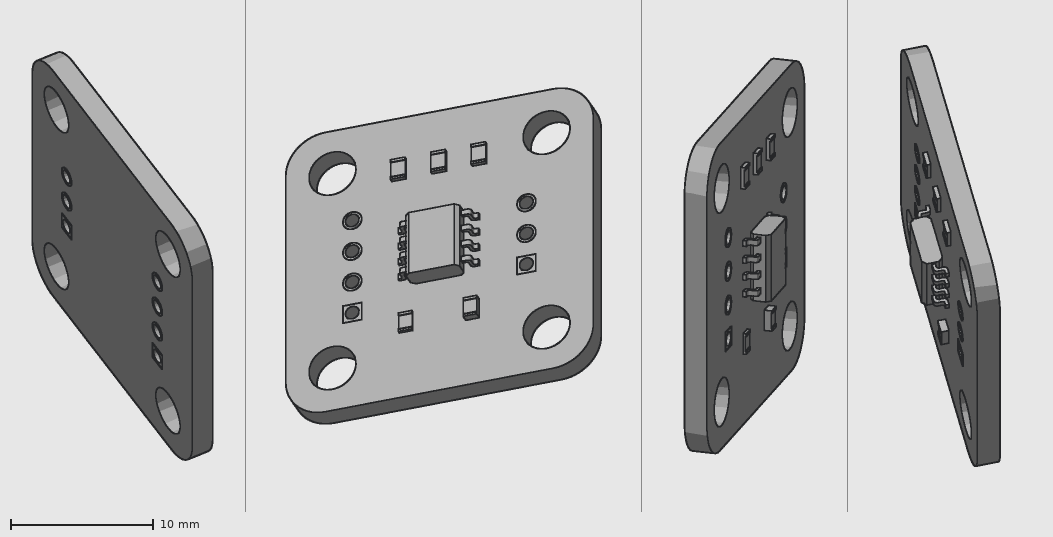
import cadquery as cq


board_side = 23.0
board_thickness = 1.65
board_corner_radius = 3.0
mount_hole_diameter = 3.5
mount_hole_offset = 8.0

header_pitch = 2.53
header_x = 6.5
left_pin_count = 3
right_pin_count = 4
pin_hole_diameter = 1.01
pad_size = 1.4
pad_thickness = 0.035

body_width = 4.0
body_length = 5.0
body_gap = 0.15
overall_depth = 3.35
package_height = overall_depth - board_thickness - pad_thickness
body_chamfer = 0.3

lead_count = 4
lead_pitch = 1.26
lead_row_z = 0.2
lead_width = 0.41
lead_thickness = 0.25
lead_top = 1.0
lead_span = 5.34
foot_span = 6.0
lead_outer_radius = 0.25
lead_inner_radius = 0.14
lead_embed = 0.23

terminal_length = 0.2
terminal_step = 0.07
resistor_length = 1.6
resistor_width = 1.08
resistor_height = 0.32
resistor_pitch = 3.01
resistor_z = 7.2
small_chip_length = 1.52
small_chip_width = 1.01
small_chip_x = 2.48
small_chip_z = -5.43
tall_chip_height = 0.58
flat_chip_height = 0.23


def box_on(y_start, x, z, width, height, length):
    """Box resting on the plane Y = y_start, centred on (x, z), rising toward +Y."""
    return cq.Workplane("XY").box(width, height, length).translate((x, y_start + height / 2, z))


def cylinder_on(y_start, x, z, diameter, height):
    """Cylinder along Y that starts on the plane Y = y_start."""
    axis_start = cq.Vector(x, y_start, z)
    return cq.Workplane(cq.Solid.makeCylinder(diameter / 2, height, axis_start, cq.Vector(0, 1, 0)))


def make_board():
    board = box_on(0, 0, 0, board_side, board_thickness, board_side)
    board = board.edges("|Y").fillet(board_corner_radius)
    for x in (-mount_hole_offset, mount_hole_offset):
        for z in (-mount_hole_offset, mount_hole_offset):
            board = board.cut(cylinder_on(0, x, z, mount_hole_diameter, board_thickness))
    return board


def add_header(board, x, pin_count):
    """Vertical row of plated holes; the lowest pad is square and the others are round."""
    plated_thickness = board_thickness + 2 * pad_thickness
    lowest_z = -header_pitch * (pin_count - 1) / 2
    for index in range(pin_count):
        z = lowest_z + index * header_pitch
        if index == 0:
            pad = box_on(-pad_thickness, x, z, pad_size, plated_thickness, pad_size)
        else:
            pad = cylinder_on(-pad_thickness, x, z, pad_size, plated_thickness)
        board = board.union(pad)
        board = board.cut(cylinder_on(-pad_thickness, x, z, pin_hole_diameter, plated_thickness))
    return board


def make_lead(side, z):
    """Gull-wing lead on the +X (side = 1) or -X (side = -1) flank of the package."""
    root_x = body_width / 2 - lead_embed
    outer_x = lead_span / 2
    inner_x = outer_x - lead_thickness
    foot_x = foot_span / 2
    shoulder_y = lead_top - lead_thickness
    profile = [
        (root_x, lead_top),
        (outer_x, lead_top),
        (outer_x, lead_thickness),
        (foot_x, lead_thickness),
        (foot_x, 0),
        (inner_x, 0),
        (inner_x, shoulder_y),
        (root_x, shoulder_y),
    ]
    lead = cq.Workplane("XY").polyline(profile).close().extrude(lead_width / 2, both=True)

    def bend(x, y):
        reach = lead_inner_radius / 2
        return cq.selectors.BoxSelector((x - reach, y - reach, -lead_width), (x + reach, y + reach, lead_width))

    lead = lead.edges(bend(outer_x, lead_top)).fillet(lead_outer_radius)
    lead = lead.edges(bend(inner_x, 0)).fillet(lead_outer_radius)
    lead = lead.edges(bend(outer_x, lead_thickness)).fillet(lead_inner_radius)
    lead = lead.edges(bend(inner_x, shoulder_y)).fillet(lead_inner_radius)
    if side < 0:
        lead = lead.mirror("YZ")
    return lead.translate((0, board_thickness, z))


def make_package():
    """Package body carried above the board by a row of leads on each flank."""
    body = box_on(board_thickness + body_gap, 0, 0, body_width, package_height - body_gap, body_length)
    body = body.edges("|Z").chamfer(body_chamfer)
    for index in range(lead_count):
        z = lead_row_z + (index - (lead_count - 1) / 2) * lead_pitch
        for side in (-1, 1):
            body = body.union(make_lead(side, z))
    return body


def make_chip(x, z, width, height, length):
    """Two-terminal chip lying along Z."""
    chip = box_on(board_thickness, x, z, width, height, length)
    recess_length = length - 2 * terminal_length
    recess_floor = board_thickness + height - terminal_step
    return chip.cut(box_on(recess_floor, x, z, width, terminal_step, recess_length))


result = make_board()
result = add_header(result, -header_x, left_pin_count)
result = add_header(result, header_x, right_pin_count)
result = result.union(make_package())
for column in (-1, 0, 1):
    resistor_x = column * resistor_pitch
    resistor = make_chip(resistor_x, resistor_z, resistor_width, resistor_height, resistor_length)
    result = result.union(resistor)
for side, chip_height in ((-1, tall_chip_height), (1, flat_chip_height)):
    chip_x = side * small_chip_x
    chip = make_chip(chip_x, small_chip_z, small_chip_width, chip_height, small_chip_length)
    result = result.union(chip)